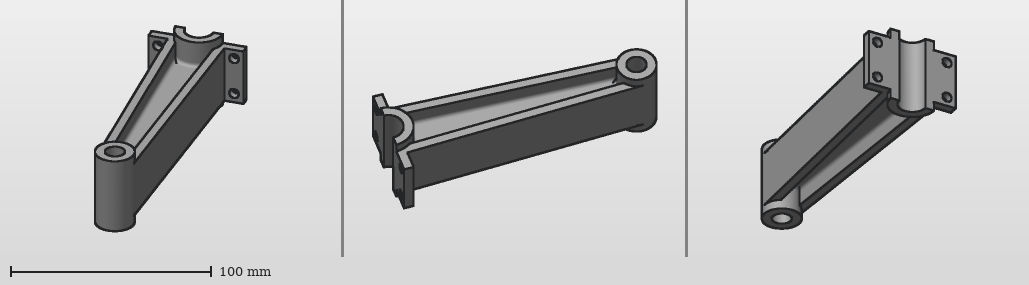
import cadquery as cq
total_height = 40.0
arm_height = 30.0

saddle_outer_radius = 12.5
saddle_bore_radius = 7.5

boss_outer_radius = 10.0
boss_bore_radius = 5.0
centre_distance = 130.0

flange_width = 50.0
flange_thickness = 5.0
bolt_hole_diameter = 5.0
bolt_spacing_x = 40.0
bolt_spacing_z = 20.0

arm_root_half_width = 15.0
arm_tip_half_width = boss_outer_radius
wall_thickness = 5.0
web_thickness = 12.0
pocket_fillet = 2.0

seam_turn = 90.0


def cylinder(radius, height, y):
    """Vertical cylinder centred on mid height, at x = 0, its seam on the +Y side."""
    upright = cq.Workplane("XY", origin=(0, y, -height / 2)).circle(radius).extrude(height)
    return upright.rotate((0, y, 0), (0, y, 1), seam_turn)


def arm_prism(inset, height):
    """Tapered arm from the split face to the boss axis, its sides moved in by `inset`."""
    taper = (arm_root_half_width - arm_tip_half_width) / (centre_distance - flange_thickness)
    tip = arm_tip_half_width - inset
    root = tip + taper * centre_distance
    outline = [(-root, 0), (root, 0), (tip, -centre_distance), (-tip, -centre_distance)]
    return cq.Workplane("XY", origin=(0, 0, -height / 2)).polyline(outline).close().extrude(height)


def make_flange():
    """Bolting plate behind the saddle."""
    return cq.Workplane("XY").box(flange_width, flange_thickness, arm_height).translate(
        (0, -flange_thickness / 2, 0)
    )


def make_pocket(side):
    """Pocket on the upper (side = 1) or lower (side = -1) face, rounded along its floor."""
    depth = (arm_height - web_thickness) / 2
    middle = side * (arm_height - depth) / 2
    pocket = arm_prism(wall_thickness, depth).translate((0, 0, middle))
    pocket = pocket.cut(cylinder(saddle_outer_radius, total_height, 0))
    pocket = pocket.cut(cylinder(boss_outer_radius, total_height, -centre_distance))
    pocket = pocket.solids(cq.selectors.NearestToPointSelector((0, -centre_distance / 2, middle)))
    floor = "<Z" if side > 0 else ">Z"
    return cq.Workplane(pocket.val()).faces(floor).edges().fillet(pocket_fillet)


def make_bolt_holes():
    """Four through holes in the flange."""
    return (
        cq.Workplane("XZ")
        .rarray(bolt_spacing_x, bolt_spacing_z, 2, 2)
        .circle(bolt_hole_diameter / 2)
        .extrude(flange_thickness)
    )


def make_split_clearance():
    """Everything on the far side of the split face."""
    return cq.Workplane("XY").box(flange_width, flange_width, total_height).translate(
        (0, flange_width / 2, 0)
    )


body = arm_prism(0, arm_height).union(make_flange())
for side in (1, -1):
    body = body.cut(make_pocket(side))
body = body.union(cylinder(saddle_outer_radius, total_height, 0))
body = body.union(cylinder(boss_outer_radius, total_height, -centre_distance))
body = body.cut(make_split_clearance())
body = body.cut(cylinder(saddle_bore_radius, total_height, 0))
body = body.cut(cylinder(boss_bore_radius, total_height, -centre_distance))
result = body.cut(make_bolt_holes())